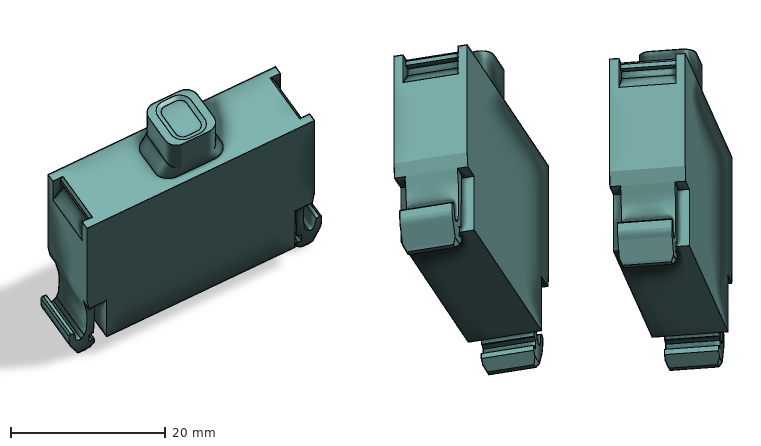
import cadquery as cq
import math


width = 10.0
housing_top = 25.9
upper_half_length = 17.1
lower_half_length = 14.15
shoulder_z = 7.98
taper_start_z = 9.95
taper_inset = 0.3

button_x = 7.52
button_y = 7.35
button_top = 32.55
button_radius = 1.7
flare_half_length = 4.98
flare_top = 28.15
flare_radius = 1.98

recess_x = 6.85
recess_y = 5.0
recess_radius = 1.75
recess_depth = 0.25
recess_inset = 0.65

notch_width = button_x
notch_bottom = 21.8
notch_depth = 2.13
lip_bottom = 24.93
lip_setback = 1.15
lip_chamfer = 0.38

clip_width = 7.15
clip_reach = 19.0
clip_bottom = -3.5
clip_tip_chamfer_x = 0.38
clip_tip_chamfer_z = 0.75
leg_inner_top_y = 15.05
leg_inner_bottom_y = 15.28
leg_bottom_z = 0.05
valley_z = -0.1
hook_top = 1.98
catch_z = -1.5
catch_tip_y = 15.15
catch_back_y = 16.0
catch_lip_radius = 0.15


def extrude_across(profile, depth):
    """Extrude a YZ profile by depth, centred on X = 0."""
    return profile.extrude(depth / 2, both=True)


def on_both_ends(solid):
    """Join a +Y end feature with its mirror image at the -Y end."""
    return solid.union(solid.mirror("XZ"))


def make_housing():
    half_outline = [
        (0, 0),
        (lower_half_length, 0),
        (lower_half_length, shoulder_z),
        (upper_half_length - taper_inset, shoulder_z),
        (upper_half_length, taper_start_z),
        (upper_half_length, housing_top),
        (0, housing_top),
    ]
    half = extrude_across(cq.Workplane("YZ").polyline(half_outline).close(), width)
    return on_both_ends(half)


def make_button():
    post = (
        cq.Workplane("XY", origin=(0, 0, housing_top))
        .rect(button_x, button_y)
        .extrude(button_top - housing_top)
        .edges("|Z")
        .fillet(button_radius)
    )
    flare_outline = [
        (-flare_half_length, housing_top),
        (flare_half_length, housing_top),
        (button_y / 2, flare_top),
        (-button_y / 2, flare_top),
    ]
    flare = extrude_across(cq.Workplane("YZ").polyline(flare_outline).close(), button_x)
    flare = flare.edges("not(#Z or |X)").fillet(flare_radius)
    return post.union(flare)


def make_recess():
    taper_angle = math.degrees(math.atan2(recess_inset, recess_depth))
    outline = cq.Sketch().rect(recess_x, recess_y).vertices().fillet(recess_radius)
    return (
        cq.Workplane("XY", origin=(0, 0, button_top))
        .placeSketch(outline)
        .extrude(-recess_depth, taper=taper_angle)
    )


def make_notches():
    back_y = upper_half_length - notch_depth
    lip_y = upper_half_length - lip_setback
    outline = [
        (upper_half_length, notch_bottom),
        (back_y, notch_bottom + notch_depth),
        (back_y, lip_bottom),
        (lip_y, lip_bottom),
        (lip_y, housing_top - lip_chamfer),
        (lip_y - lip_chamfer, housing_top),
        (upper_half_length, housing_top),
    ]
    notch = extrude_across(cq.Workplane("YZ").polyline(outline).close(), notch_width)
    return on_both_ends(notch)


def make_clips():
    profile = (
        cq.Workplane("YZ")
        .moveTo(upper_half_length - taper_inset, shoulder_z)
        .lineTo(16.55, 6.75)
        .threePointArc((16.3, 5.13), (16.25, 3.5))
        .lineTo(16.38, 1.25)
        .lineTo(16.7, 0.38)
        .lineTo(17.15, -0.08)
        .lineTo(17.33, valley_z)
        .threePointArc((17.8, 0.08), (17.97, 0.65))
        .lineTo(18.2, hook_top - 0.1)
        .lineTo(18.7, hook_top)
        .lineTo(clip_reach, hook_top - 0.23)
        .lineTo(clip_reach, 0.6)
        .threePointArc((18.92, 0.0), (18.75, -0.6))
        .lineTo(17.45, -3.23)
        .lineTo(17.25, clip_bottom)
        .lineTo(16.5, clip_bottom)
        .lineTo(catch_tip_y, -2.13)
        .lineTo(catch_tip_y, catch_z)
        .threePointArc(
            (catch_tip_y + catch_lip_radius, catch_z + catch_lip_radius),
            (catch_tip_y + 2 * catch_lip_radius, catch_z),
        )
        .lineTo(catch_back_y, catch_z)
        .lineTo(catch_back_y, -0.3)
        .lineTo(15.5, leg_bottom_z)
        .lineTo(leg_inner_bottom_y, leg_bottom_z)
        .lineTo(leg_inner_top_y, shoulder_z)
        .close()
    )
    clip = extrude_across(profile, clip_width)

    half_width = clip_width / 2
    front_outline = [
        (-half_width + clip_tip_chamfer_x, clip_bottom),
        (half_width - clip_tip_chamfer_x, clip_bottom),
        (half_width, clip_bottom + clip_tip_chamfer_z),
        (half_width, shoulder_z),
        (-half_width, shoulder_z),
        (-half_width, clip_bottom + clip_tip_chamfer_z),
    ]
    envelope = cq.Workplane("XZ").polyline(front_outline).close().extrude(-clip_reach)
    return on_both_ends(clip.intersect(envelope))


result = (
    make_housing()
    .cut(make_notches())
    .union(make_button())
    .cut(make_recess())
    .union(make_clips())
)